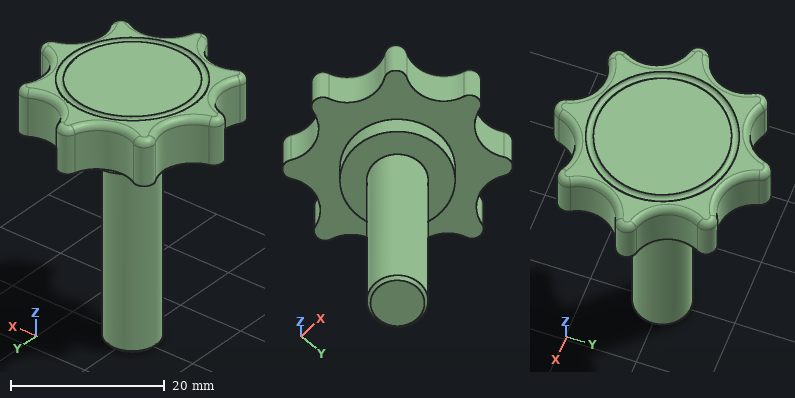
import cadquery as cq
import math

total_height = 40.0
head_height = 7.0
collar_height = 3.0
stud_length = total_height - head_height - collar_height
head_bottom = stud_length + collar_height

lobe_count = 8
head_radius = 15.0
lobe_tip_diameter = 3.0
flute_radius = 5.0
rim_fillet = 1.0

groove_outer_radius = 10.0
groove_width = 1.0

collar_diameter = 15.0
stud_radius = 4.0
stud_chamfer = 0.5

lobe_pitch = 2 * math.pi / lobe_count
lobe_tip_radius = lobe_tip_diameter / 2
tip_center_radius = head_radius - lobe_tip_radius
center_distance = lobe_tip_radius + flute_radius
half_chord = tip_center_radius * math.sin(lobe_pitch / 2)
chord_radius = tip_center_radius * math.cos(lobe_pitch / 2)
flute_center_radius = chord_radius + math.sqrt(center_distance**2 - half_chord**2)
valley_radius = flute_center_radius - flute_radius


def polar(radius, angle):
    return (radius * math.cos(angle), radius * math.sin(angle))


def tip_tangent_point(lobe_angle, side):
    """Point where a lobe tip meets the flute on the given side (+1 or -1)."""
    tip_x, tip_y = polar(tip_center_radius, lobe_angle)
    flute_x, flute_y = polar(flute_center_radius, lobe_angle + side * lobe_pitch / 2)
    share = lobe_tip_radius / center_distance
    return (tip_x + share * (flute_x - tip_x), tip_y + share * (flute_y - tip_y))


def star_outline():
    outline = cq.Workplane("XY").workplane(offset=head_bottom).moveTo(*tip_tangent_point(0, -1))
    for index in range(lobe_count):
        angle = index * lobe_pitch
        outline = outline.threePointArc(polar(head_radius, angle), tip_tangent_point(angle, 1))
        valley = polar(valley_radius, angle + lobe_pitch / 2)
        outline = outline.threePointArc(valley, tip_tangent_point(angle + lobe_pitch, -1))
    return outline.close()


def ring_groove():
    """Torus centered on the top face; its lower half is the groove."""
    section_radius = groove_width / 2
    ring_radius = groove_outer_radius - section_radius
    torus = cq.Solid.makeTorus(ring_radius, section_radius)
    return torus.translate(cq.Vector(0, 0, total_height))


def make_knob():
    head = star_outline().extrude(head_height).faces(">Z").edges().fillet(rim_fillet)
    collar = cq.Workplane("XY").workplane(offset=stud_length).circle(collar_diameter / 2).extrude(collar_height)
    return head.union(collar).cut(ring_groove()).solids()


def make_stud():
    """Plain round stud that ends against the underside of the collar."""
    stud = cq.Workplane("XY").circle(stud_radius).extrude(stud_length)
    return stud.faces("<Z").edges().chamfer(stud_chamfer)


knob = make_knob()
stud = make_stud()

result = cq.Compound.makeCompound([knob.val(), stud.val()])